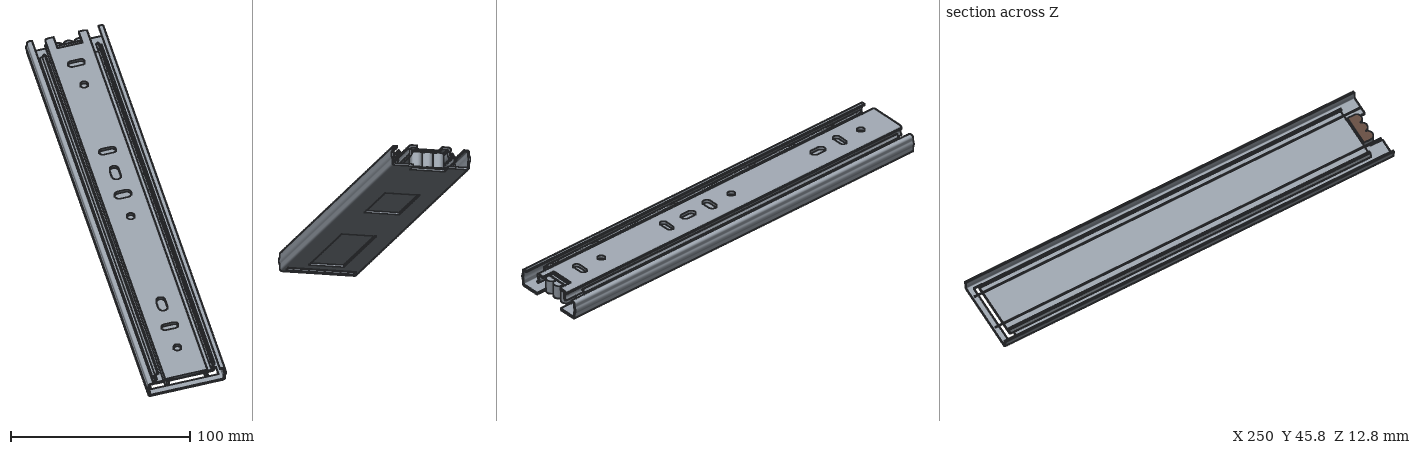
import cadquery as cq

LENGTH = 250.0
HEIGHT = 12.8
SHEET = 1.2

OUTER_HALF_WIDTH = 22.88
OUTER_WALL_Y = 22.2
OUTER_TOP = 11.2
OUTER_WALL = 1.0
OUTER_LIP_Y = 19.2
OUTER_BEND = 1.5
OUTER_TRACK_Z = 6.0
OUTER_TRACK_HALF_HEIGHT = 2.0
OUTER_TRACK_BLEND = 1.5
OUTER_NOTCH_DEPTH = 7.8
OUTER_NOTCH_WIDTH = 20.0
END_WINDOW = (241.0, 246.2)
END_WINDOW_WIDTH = 39.0
FLOOR_WINDOWS = ((62.8, 108.8), (159.2, 232.0))
FLOOR_WINDOW_WIDTH = 20.0

MIDDLE_START = 11.8
MIDDLE_END = 244.0
MIDDLE_BOTTOM = 2.0
MIDDLE_PLATE = 1.5
MIDDLE_FOOT_Y = 17.8
MIDDLE_FOOT_TOP = 5.2
MIDDLE_WAIST_Y = 16.8
MIDDLE_WAIST_Z = 6.0
MIDDLE_TRACK_Y = 18.0
MIDDLE_TRACK_HALF_HEIGHT = 1.5
MIDDLE_LIP_OUTSIDE = (15.5, 12.0)
MIDDLE_LIP_INSIDE = (14.5, 10.8)

INNER_START = 2.0
INNER_SHOULDER_Y = 12.2
INNER_SHOULDER_TOP = 11.8
INNER_SHOULDER_Z = 10.8
INNER_TRACK_Y = 11.5
INNER_LIP_Y = 12.5
INNER_LIP_Z = 6.8
INNER_BOTTOM = 6.0
INNER_BEND = 2.5
INNER_PLATE_Y = 10.2
INNER_NOTCH_DEPTH = 8.0
INNER_NOTCH_WIDTH = 14.5
RIB_WIDTH = 15.5
RIB_BOTTOM = 10.8
RIB_START = 7.2
RIB_LEDGE_TOP = 11.2
RIB_LEDGE_END = 9.2
BALL_Z = 8.5

HOLE_DIAMETER = 4.5
HOLES_X = (38.8, 134.8, 230.5)
SLOT_LENGTH = 9.8
CROSS_SLOT_WIDTH = 4.2
CROSS_SLOTS_X = (23.0, 87.0, 215.0)
WIDE_SLOT_WIDTH = 5.2
WIDE_CROSS_SLOT_X = 118.8
LONG_SLOTS_X = (103.0, 198.8)

LOBE_COUNT = 3
LOBE_RADIUS = 3.12
BUMPER_FRONT = 4.2
BUMPER_BOTTOM = SHEET
BUMPER_TOP = 9.8


def mirrored_rail(half_section, start, end):
    """Extrude the +Y half of a section along X and join it to its mirror image."""
    half = half_section.close().extrude(end - start)
    return half.union(half.mirror("XZ"))


def section_at(x):
    """Section plane with local axes (Y, Z)."""
    return cq.Workplane("YZ", origin=(x, 0, 0))


def slab(start, end, width, bottom, top):
    """Block centred on Y = 0, from start to end along X."""
    return cq.Workplane("XY", origin=(start, 0, bottom)).box(
        end - start, width, top - bottom, centered=(False, True, False)
    )


def fillet_along(rail, corners, radius):
    """Round the lengthwise edges that pass through the given (y, z) points, on both sides."""
    for y, z in corners:
        for side_y in (-y, y):
            nearest = cq.selectors.NearestToPointSelector((LENGTH / 2, side_y, z))
            rail = rail.edges(nearest).fillet(radius)
    return rail


def outer_rail():
    """Fixed channel with bulged walls, inward lips and floor windows."""
    inside_y = OUTER_WALL_Y - OUTER_WALL
    inside_top = OUTER_TOP - OUTER_WALL
    track_low = OUTER_TRACK_Z - OUTER_TRACK_HALF_HEIGHT
    track_high = OUTER_TRACK_Z + OUTER_TRACK_HALF_HEIGHT
    half = (
        section_at(0)
        .lineTo(OUTER_WALL_Y - OUTER_BEND, 0)
        .radiusArc((OUTER_WALL_Y, OUTER_BEND), -OUTER_BEND)
        .lineTo(OUTER_WALL_Y, track_low)
        .threePointArc((OUTER_HALF_WIDTH, OUTER_TRACK_Z), (OUTER_WALL_Y, track_high))
        .lineTo(OUTER_WALL_Y, OUTER_TOP - OUTER_BEND)
        .radiusArc((OUTER_WALL_Y - OUTER_BEND, OUTER_TOP), -OUTER_BEND)
        .lineTo(OUTER_LIP_Y, OUTER_TOP)
        .lineTo(OUTER_LIP_Y, inside_top)
        .lineTo(inside_y, inside_top)
        .lineTo(inside_y, track_high)
        .threePointArc((OUTER_HALF_WIDTH - SHEET, OUTER_TRACK_Z), (inside_y, track_low))
        .lineTo(inside_y, SHEET)
        .lineTo(0, SHEET)
    )
    rail = mirrored_rail(half, 0, LENGTH)
    track_corners = [(y, z) for y in (OUTER_WALL_Y, inside_y) for z in (track_low, track_high)]
    rail = fillet_along(rail, track_corners, OUTER_TRACK_BLEND)
    rail = fillet_along(rail, [(inside_y, SHEET), (inside_y, inside_top)], OUTER_BEND - OUTER_WALL)
    rail = rail.cut(slab(0, OUTER_NOTCH_DEPTH, OUTER_NOTCH_WIDTH, 0, SHEET))
    rail = rail.cut(slab(*END_WINDOW, END_WINDOW_WIDTH, 0, SHEET))
    for start, end in FLOOR_WINDOWS:
        rail = rail.cut(slab(start, end, FLOOR_WINDOW_WIDTH, 0, SHEET))
    return rail


def middle_rail():
    """Ball-carrying rail with S-shaped walls, lying over the outer rail's floor."""
    plate_top = MIDDLE_BOTTOM + MIDDLE_PLATE
    foot_radius = (MIDDLE_FOOT_TOP - MIDDLE_BOTTOM) / 2
    foot_z = MIDDLE_BOTTOM + foot_radius
    inside_waist_y = MIDDLE_WAIST_Y - SHEET
    half = (
        section_at(MIDDLE_START)
        .moveTo(0, MIDDLE_BOTTOM)
        .lineTo(MIDDLE_FOOT_Y - foot_radius, MIDDLE_BOTTOM)
        .radiusArc((MIDDLE_FOOT_Y, foot_z), -foot_radius)
        .lineTo(MIDDLE_WAIST_Y, MIDDLE_WAIST_Z)
        .lineTo(MIDDLE_WAIST_Y, BALL_Z - MIDDLE_TRACK_HALF_HEIGHT)
        .threePointArc((MIDDLE_TRACK_Y, BALL_Z), (MIDDLE_WAIST_Y, BALL_Z + MIDDLE_TRACK_HALF_HEIGHT))
        .lineTo(*MIDDLE_LIP_OUTSIDE)
        .lineTo(*MIDDLE_LIP_INSIDE)
        .threePointArc((MIDDLE_TRACK_Y - SHEET, BALL_Z), (inside_waist_y, MIDDLE_WAIST_Z))
        .lineTo(MIDDLE_FOOT_Y - SHEET, foot_z)
        .lineTo(MIDDLE_FOOT_Y - SHEET, plate_top)
        .lineTo(0, plate_top)
    )
    return mirrored_rail(half, MIDDLE_START, MIDDLE_END)


def plate_opening(x):
    """Workplane at the underside of the rib for cutting an opening at the given X."""
    return cq.Workplane("XY", origin=(x, 0, RIB_BOTTOM))


def slot_cut(x, width, angle):
    """Round-ended cutter through the rib and the top plate."""
    return plate_opening(x).slot2D(SLOT_LENGTH, width, angle).extrude(HEIGHT - RIB_BOTTOM)


def hole_cut(x):
    """Round cutter through the rib and the top plate."""
    return plate_opening(x).circle(HOLE_DIAMETER / 2).extrude(HEIGHT - RIB_BOTTOM)


def inner_openings():
    """All cutters for the holes and slots of the inner rail."""
    cutters = [hole_cut(x) for x in HOLES_X]
    cutters += [slot_cut(x, CROSS_SLOT_WIDTH, 90) for x in CROSS_SLOTS_X]
    cutters += [slot_cut(x, WIDE_SLOT_WIDTH, 0) for x in LONG_SLOTS_X]
    cutters.append(slot_cut(WIDE_CROSS_SLOT_X, WIDE_SLOT_WIDTH, 90))
    return cutters


def inner_rail():
    """Top rail with outside ball grooves, a rib under its plate, and mounting openings."""
    plate_bottom = HEIGHT - SHEET
    half = (
        section_at(INNER_START)
        .moveTo(0, plate_bottom)
        .lineTo(0, HEIGHT)
        .lineTo(INNER_PLATE_Y, HEIGHT)
        .radiusArc((INNER_SHOULDER_Y, INNER_SHOULDER_TOP), INNER_BEND)
        .lineTo(INNER_SHOULDER_Y, INNER_SHOULDER_Z)
        .threePointArc((INNER_TRACK_Y, BALL_Z), (INNER_LIP_Y, INNER_LIP_Z))
        .lineTo(INNER_TRACK_Y, INNER_BOTTOM)
        .threePointArc((INNER_TRACK_Y - SHEET, BALL_Z), (INNER_SHOULDER_Y - SHEET, INNER_SHOULDER_Z))
        .lineTo(INNER_PLATE_Y, plate_bottom)
    )
    rail = mirrored_rail(half, INNER_START, LENGTH)
    notch_end = INNER_START + INNER_NOTCH_DEPTH
    rail = rail.cut(slab(INNER_START, notch_end, INNER_NOTCH_WIDTH, plate_bottom, HEIGHT))
    rail = rail.union(slab(RIB_START, LENGTH, RIB_WIDTH, RIB_BOTTOM, plate_bottom))
    rail = rail.cut(slab(RIB_START, RIB_LEDGE_END, INNER_NOTCH_WIDTH, RIB_LEDGE_TOP, plate_bottom))
    for cutter in inner_openings():
        rail = rail.cut(cutter)
    return rail


def bumper():
    """Block in front of the middle rail with a row of round lobes on its front."""
    lobe_x = BUMPER_FRONT + LOBE_RADIUS
    half_width = LOBE_COUNT * LOBE_RADIUS
    body = slab(lobe_x, MIDDLE_START, 2 * half_width, BUMPER_BOTTOM, BUMPER_TOP)
    for i in range(LOBE_COUNT):
        y = (2 * i + 1) * LOBE_RADIUS - half_width
        lobe = cq.Workplane("XY", origin=(lobe_x, y, BUMPER_BOTTOM)).circle(LOBE_RADIUS)
        body = body.union(lobe.extrude(BUMPER_TOP - BUMPER_BOTTOM))
    return body


result = cq.Compound.makeCompound(
    [outer_rail().val(), middle_rail().val(), inner_rail().val(), bumper().val()]
)